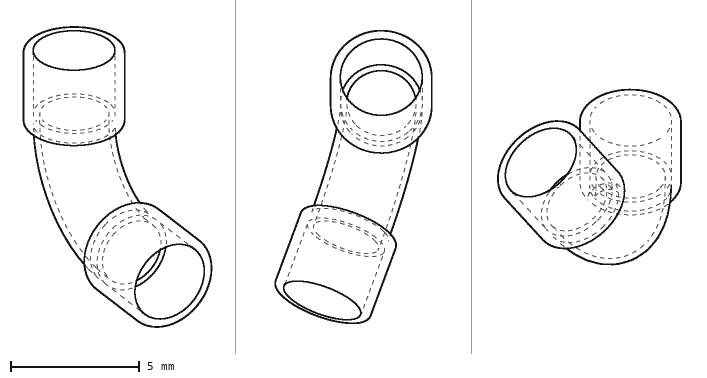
import cadquery as cq

overall_size = 8.95
socket_diameter = 3.94
socket_length = 3.17
tube_diameter = 3.18
tube_bore = 2.685
socket_bore = 3.18
edge_round = 0.1
neck_fillet = 0.12

socket_radius = socket_diameter / 2
mouth = overall_size - socket_radius
bend_radius = mouth - socket_length
socket_wall = (socket_diameter - socket_bore) / 2
socket_depth = socket_length - socket_wall

top_mouth = cq.Plane(origin=(0, 0, mouth), xDir=(1, 0, 0), normal=(0, 0, -1))
side_mouth = cq.Plane(origin=(mouth, 0, 0), xDir=(0, 1, 0), normal=(-1, 0, 0))
mouths = (top_mouth, side_mouth)


def quarter_bend(diameter):
    """Solid quarter torus joining the vertical axis to the horizontal axis."""
    return (
        cq.Workplane("XY", origin=(0, 0, bend_radius))
        .circle(diameter / 2)
        .revolve(90, (bend_radius, 0, 0), (bend_radius, -1, 0))
    )


def plug(plane, diameter, length):
    """Solid cylinder running inward from a socket mouth."""
    return cq.Workplane(plane).circle(diameter / 2).extrude(length)


def socket(plane):
    """Solid socket body with both outer rims rounded."""
    return plug(plane, socket_diameter, socket_length).edges("%CIRCLE").fillet(edge_round)


body = quarter_bend(tube_diameter)
for plane in mouths:
    body = body.union(socket(plane))

neck_reach = tube_diameter / 2 + neck_fillet / 2
for axis in ("Z", "X"):
    tolerance = neck_fillet / 2
    low = [-neck_reach, -neck_reach, -neck_reach]
    high = [neck_reach, neck_reach, neck_reach]
    along = "XYZ".index(axis)
    low[along] = bend_radius - tolerance
    high[along] = bend_radius + tolerance
    body = body.edges(cq.selectors.BoxSelector(low, high)).edges("%CIRCLE").fillet(neck_fillet)

body = body.cut(quarter_bend(tube_bore))
for plane in mouths:
    body = body.cut(plug(plane, tube_bore, socket_length))
    body = body.cut(plug(plane, socket_bore, socket_depth))

result = body